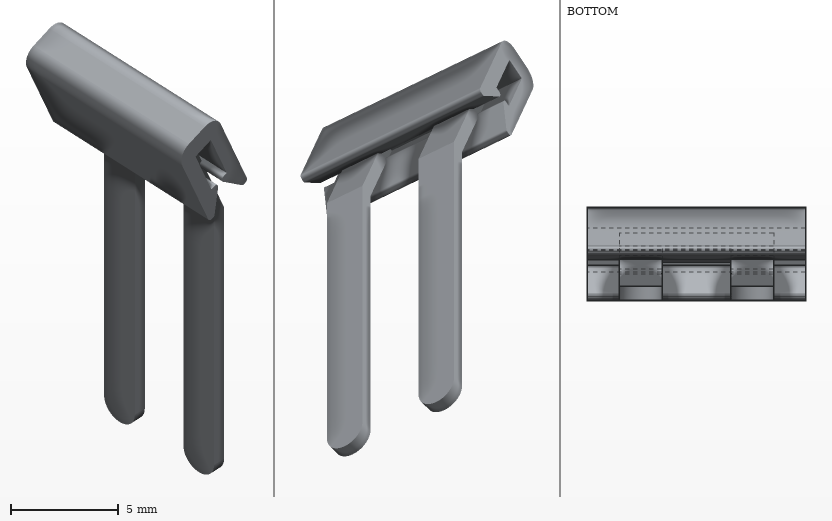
import cadquery as cq
import math

total_height = 23.53
total_depth = 4.3

cap_length = 10.15
cap_width = 2.73
cap_height = 5.58
cap_wall = 0.82
cap_roof = 1.1
cap_corner_radius = 0.8
tilt_degrees = 22.0

lip_gap = 0.3
lip_top_depth = 3.9
lip_nose_height = 0.24
lip_nose_radius = 0.16
wall_tip_width = 0.35
wall_tip_outer_radius = 0.2
wall_tip_inner_radius = 0.12

leg_width = 2.0
leg_spacing = 5.18
leg_thickness = 0.65
back_clearance = 0.16
bridge_height = leg_width

tilt = math.radians(tilt_degrees)
sin_tilt = math.sin(tilt)
cos_tilt = math.cos(tilt)
corner_offset = cap_width / 2 - cap_corner_radius
front_limit = leg_thickness - total_depth
roof_y = front_limit + cap_corner_radius + corner_offset * cos_tilt - cap_corner_radius * sin_tilt
roof_z = total_height - cap_corner_radius - corner_offset * sin_tilt + cap_corner_radius * cos_tilt


def tilted_point(across, depth):
    """(Y, Z) of a point given across the cap toward the front and down from its roof."""
    y = roof_y - across * cos_tilt + depth * sin_tilt
    z = roof_z - across * sin_tilt - depth * cos_tilt
    return (y, z)


def extrude_along_x(points, length):
    """Prism centred on X = 0 with a (Y, Z) outline."""
    return cq.Workplane("YZ").polyline(points).close().extrude(length / 2, both=True)


def fillet_edge_at(body, point, radius):
    """Round the lengthwise edge that passes through a (Y, Z) point."""
    selector = cq.selectors.NearestToPointSelector((0, point[0], point[1]))
    return body.edges("|X").edges(selector).fillet(radius)


def make_cap():
    half_width = cap_width / 2
    half_cavity = half_width - cap_wall
    half_gap = lip_gap / 2
    tip_inside = half_width - wall_tip_width
    nose_bottom_depth = lip_top_depth + lip_nose_height

    front_side = [
        (half_width, 0),
        (half_width, cap_height),
        (tip_inside, cap_height),
        (half_gap, nose_bottom_depth),
        (half_gap, lip_top_depth),
        (half_cavity, lip_top_depth),
        (half_cavity, cap_roof),
    ]
    back_side = [(-across, depth) for across, depth in reversed(front_side)]
    cap = extrude_along_x([tilted_point(*p) for p in front_side + back_side], cap_length)

    rounded_edges = [
        (half_width, 0, cap_corner_radius),
        (half_width, cap_height, wall_tip_outer_radius),
        (tip_inside, cap_height, wall_tip_inner_radius),
        (half_gap, nose_bottom_depth, lip_nose_radius),
        (half_gap, lip_top_depth, lip_nose_radius),
    ]
    for side in (-1, 1):
        for across, depth, radius in rounded_edges:
            cap = fillet_edge_at(cap, tilted_point(side * across, depth), radius)
    return cap


def make_bent_strip(top_depth, width):
    """Bent plate from the leg tips up to a depth below the cap roof."""
    back_face = -cap_width / 2 + cap_wall + back_clearance
    front_face = back_face + leg_thickness

    front_bend_depth = (front_face * cos_tilt - roof_y) / sin_tilt
    back_bend_depth = (back_face * cos_tilt + leg_thickness - roof_y) / sin_tilt
    outline = [
        (0, 0),
        tilted_point(front_face, front_bend_depth),
        tilted_point(front_face, top_depth),
        tilted_point(back_face, top_depth),
        tilted_point(back_face, back_bend_depth),
        (leg_thickness, 0),
    ]
    return extrude_along_x(outline, width)


def round_leg_tips(jumper):
    """Give each leg a full-round tip."""
    tip_radius = leg_width / 2
    for leg_x in (-leg_spacing / 2, leg_spacing / 2):
        square_end = (
            cq.Workplane("XZ")
            .center(leg_x, tip_radius / 2)
            .rect(leg_width, tip_radius)
            .extrude(-leg_thickness)
        )
        round_end = cq.Workplane("XZ").center(leg_x, tip_radius).circle(tip_radius).extrude(-leg_thickness)
        jumper = jumper.cut(square_end.cut(round_end))
    return jumper


def make_jumper():
    plate = make_bent_strip(cap_roof, leg_spacing + leg_width)
    leg_gap = make_bent_strip(cap_roof + bridge_height, leg_spacing - leg_width)
    return round_leg_tips(plate.cut(leg_gap))


jumper = make_jumper()
cap = make_cap().cut(jumper)

result = cq.Compound.makeCompound([cap.solids().val(), jumper.solids().val()])